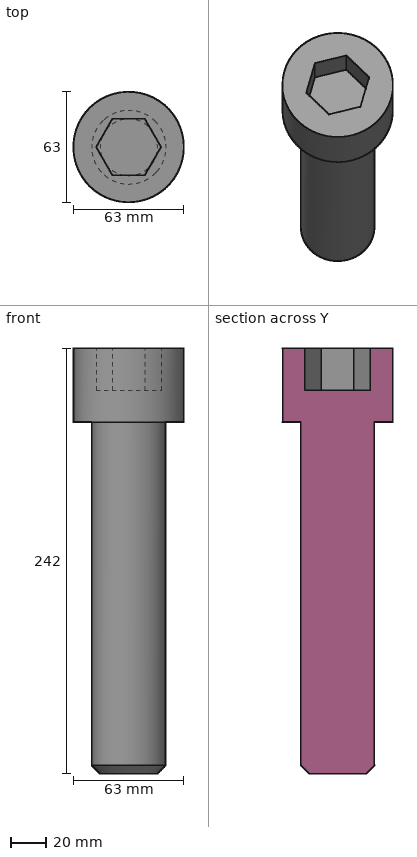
import cadquery as cq
import math

total_length = 242.0
head_diameter = 63.0
shank_diameter = 42.0
head_height = shank_diameter
tip_chamfer = 4.8
hex_across_flats = 32.0
hex_depth = 24.0

shank_length = total_length - head_height
hex_across_corners = hex_across_flats / math.cos(math.pi / 6)


def make_shank():
    """Plain cylinder with a chamfered tip at Z = 0."""
    shank = cq.Workplane("XY").circle(shank_diameter / 2).extrude(shank_length)
    return shank.faces("<Z").chamfer(tip_chamfer)


def make_head():
    """Cylindrical head sitting on top of the shank."""
    head = cq.Workplane("XY").workplane(offset=shank_length)
    return head.circle(head_diameter / 2).extrude(head_height)


def make_hex_socket():
    """Hexagonal key socket with two corners on the X axis."""
    socket = cq.Workplane("XY").workplane(offset=total_length)
    return socket.polygon(6, hex_across_corners).extrude(-hex_depth)


result = make_shank().union(make_head()).cut(make_hex_socket())